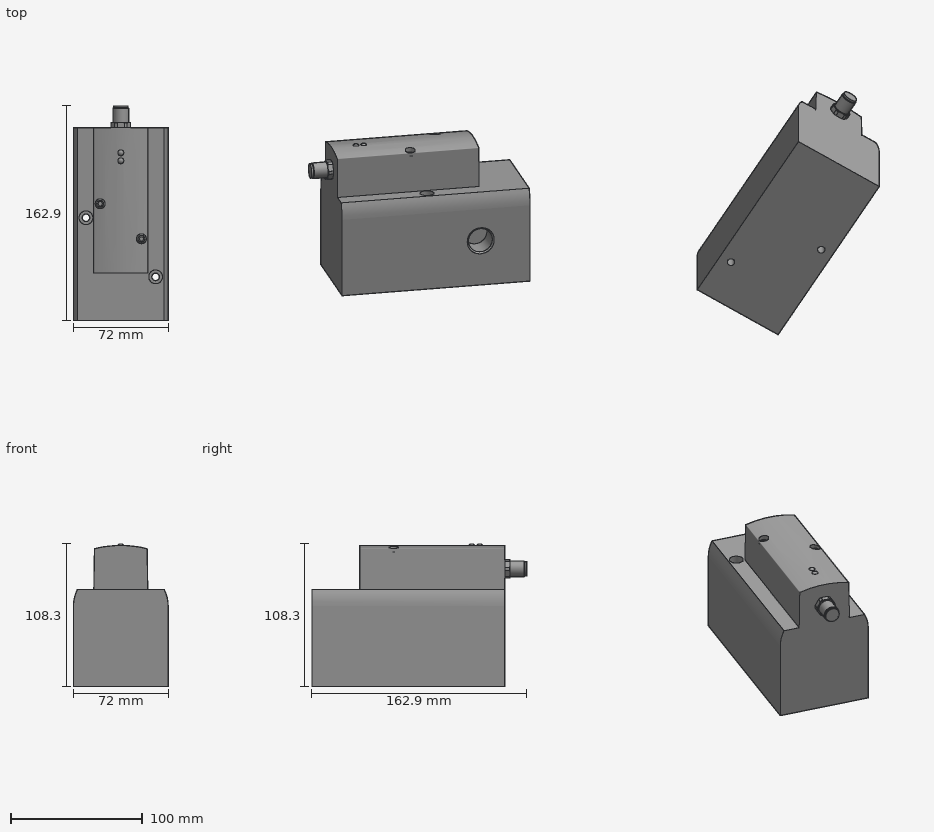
import cadquery as cq
import math

body_width = 72.0
body_length = 146.3
body_height = 73.8
shoulder_start = 60.9
shoulder_inset = 3.1

cover_front = 36.2
cover_length = body_length - cover_front
cover_base_width = 41.0
cover_top_width = 40.0
cover_edge_height = 104.5
cover_crown_height = 107.2
cover_edge_radius = 0.5

overall_length = 162.9
connector_height = 89.3
nut_flats = 14.0
nut_corner_diameter = 15.0
nut_length = 4.0
nut_bevel = 0.5
connector_diameter = 12.0
connector_tip_diameter = 11.0
connector_tip_length = 1.5

port_y = 38.5
port_height = 35.7
port_diameter = 18.5
port_mouth_diameter = 21.0
port_depth = 19.5

mount_points = [(-26.4, 78.0), (26.4, 33.2)]
mount_hole_diameter = 5.5
mount_bore_diameter = 10.5
mount_bore_depth = 5.9

screw_points = [(-15.6, 88.6), (15.6, 62.0)]
screw_recess_diameter = 7.5
screw_face_diameter = 5.2
screw_face_height = 103.1
screw_socket_flats = 3.1
screw_socket_depth = 1.6

lamp_positions = [121.2, 127.2]
lamp_diameter = 4.7
lamp_flat_diameter = 0.8
lamp_sink = 0.2
lamp_base = cover_crown_height - lamp_sink
lamp_top = 108.3

hexagon_sides = 6
bevel_angle = 45


def hexagon_diameter(flats):
    """Distance across the corners of a hexagon, from its distance across flats."""
    return flats / math.cos(math.pi / hexagon_sides)


def make_body():
    half = body_width / 2
    rise = body_height - shoulder_start
    radius = (rise**2 + shoulder_inset**2) / (2 * shoulder_inset)
    half_angle = math.asin(rise / radius) / 2
    mid_x = half - radius * (1 - math.cos(half_angle))
    mid_z = shoulder_start + radius * math.sin(half_angle)
    return (
        cq.Workplane("XZ")
        .moveTo(-half, 0)
        .lineTo(half, 0)
        .lineTo(half, shoulder_start)
        .threePointArc((mid_x, mid_z), (half - shoulder_inset, body_height))
        .lineTo(shoulder_inset - half, body_height)
        .threePointArc((-mid_x, mid_z), (-half, shoulder_start))
        .close()
        .extrude(-body_length)
    )


def make_cover():
    base_half = cover_base_width / 2
    top_half = cover_top_width / 2
    cover = (
        cq.Workplane("XZ", origin=(0, cover_front, 0))
        .moveTo(-base_half, body_height)
        .lineTo(base_half, body_height)
        .lineTo(top_half, cover_edge_height)
        .threePointArc((0, cover_crown_height), (-top_half, cover_edge_height))
        .close()
        .extrude(-cover_length)
    )
    return cover.edges("|Y").edges(">Z").fillet(cover_edge_radius)


def make_connector():
    back = cq.Workplane("XZ", origin=(0, body_length, connector_height))
    nut = back.polygon(hexagon_sides, hexagon_diameter(nut_flats)).extrude(-nut_length)
    nut_round = back.circle(nut_corner_diameter / 2).extrude(-nut_length)
    nut = nut.intersect(nut_round.faces(">Y").chamfer(nut_bevel))
    shoulder_bevel = (connector_diameter - connector_tip_diameter) / 2
    length = overall_length - body_length
    barrel = back.circle(connector_diameter / 2).extrude(connector_tip_length - length)
    barrel = barrel.faces(">Y").chamfer(shoulder_bevel)
    tip = back.circle(connector_tip_diameter / 2).extrude(-length)
    return nut.union(barrel).union(tip)


def make_port():
    mouth_depth = (port_mouth_diameter - port_diameter) / 2
    face = cq.Workplane("YZ", origin=(-body_width / 2, port_y, port_height))
    bore = face.circle(port_diameter / 2).extrude(port_depth)
    mouth = face.circle(port_mouth_diameter / 2).extrude(mouth_depth, taper=bevel_angle)
    return bore.union(mouth)


def make_mount_holes():
    top = cq.Workplane("XY", origin=(0, 0, body_height)).pushPoints(mount_points)
    through = top.circle(mount_hole_diameter / 2).extrude(-body_height)
    bore = top.circle(mount_bore_diameter / 2).extrude(-mount_bore_depth)
    return through.union(bore)


def make_screw_recesses():
    """Recesses whose floors are screw heads with a bevelled rim and a hex socket."""
    bevel = (screw_recess_diameter - screw_face_diameter) / 2
    rim_height = screw_face_height - bevel
    recess_depth = cover_crown_height - rim_height
    rim = cq.Workplane("XY", origin=(0, 0, rim_height)).pushPoints(screw_points)
    recess = rim.circle(screw_recess_diameter / 2).extrude(recess_depth)
    head = rim.circle(screw_recess_diameter / 2).extrude(bevel, taper=bevel_angle)
    face = cq.Workplane("XY", origin=(0, 0, screw_face_height)).pushPoints(screw_points)
    socket = face.polygon(hexagon_sides, hexagon_diameter(screw_socket_flats)).extrude(-screw_socket_depth)
    return recess.cut(head).union(socket)


def make_lamp(y):
    base_radius = lamp_diameter / 2
    flat_radius = lamp_flat_diameter / 2
    rise = lamp_top - lamp_base
    centre = (flat_radius**2 + rise**2 - base_radius**2) / (2 * rise)
    radius = math.hypot(base_radius, centre)
    mid_angle = (math.atan2(-centre, base_radius) + math.atan2(rise - centre, flat_radius)) / 2
    mid_point = (radius * math.cos(mid_angle), centre + radius * math.sin(mid_angle))
    return (
        cq.Workplane("XZ", origin=(0, y, lamp_base))
        .moveTo(0, -rise)
        .lineTo(base_radius, -rise)
        .lineTo(base_radius, 0)
        .threePointArc(mid_point, (flat_radius, rise))
        .lineTo(0, rise)
        .close()
        .revolve(360, (0, 0), (0, 1))
    )


result = make_body().union(make_cover()).union(make_connector())
result = result.cut(make_port()).cut(make_mount_holes()).cut(make_screw_recesses())
for lamp_y in lamp_positions:
    result = result.union(make_lamp(lamp_y))